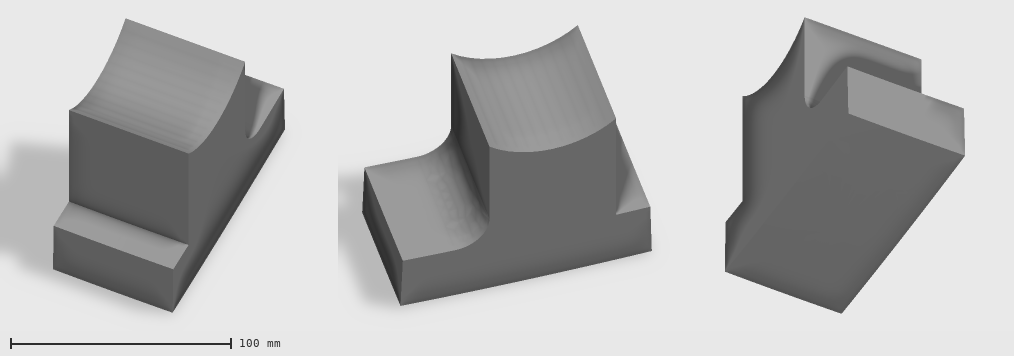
import cadquery as cq
import math

width = 60.0
height = 95.1
stem_depth = 60.0
long_end = 72.1
short_end = 46.9
base_thickness = 30.0
bottom_radius = 1999.9
cradle_radius = 46.5
fillet_radius = 16.0

top_radius = bottom_radius - base_thickness
half_stem = stem_depth / 2
side_margin = 11.9


def ball(radius):
    """Sphere about the common centre of the base's upper and lower faces."""
    return cq.Workplane("XY").sphere(radius).translate((0, 0, bottom_radius))


def extrude_along_x(points):
    """Straight-sided Y-Z outline, extruded over the width."""
    return cq.Workplane("YZ").polyline(points).close().extrude(width / 2, both=True)


def end_point(reach, z):
    """Point on an end face, which lies in a plane through the sphere centre."""
    corner_drop = math.sqrt(bottom_radius**2 - reach**2)
    return (reach * (bottom_radius - z) / corner_drop, z)


def make_base():
    low = -side_margin
    high = base_thickness + side_margin
    wedge = extrude_along_x([
        end_point(-short_end, low),
        end_point(long_end, low),
        end_point(long_end, high),
        end_point(-short_end, high),
    ])
    return wedge.intersect(ball(bottom_radius)).cut(ball(top_radius))


def make_stem():
    foot = base_thickness / 2
    stem = extrude_along_x([
        (-half_stem, foot),
        (half_stem, foot),
        (half_stem, height),
        (-half_stem, height),
    ])
    axis_height = height + math.sqrt(cradle_radius**2 - half_stem**2)
    cradle = (
        cq.Workplane("YZ")
        .center(0, axis_height)
        .circle(cradle_radius)
        .extrude(width / 2, both=True)
    )
    return stem.cut(cradle)


part = make_base().union(make_stem())

corner_height = bottom_radius - math.sqrt(top_radius**2 - half_stem**2)
corner = cq.selectors.NearestToPointSelector((0, half_stem, corner_height))
result = part.edges(corner).fillet(fillet_radius)